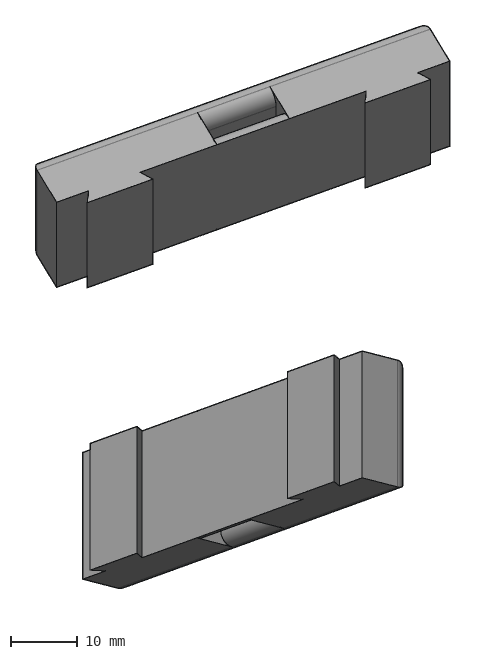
import cadquery as cq
import math

length = 65.2
height = 20.0
total_depth = 11.2
dovetail_depth = 2.0
body_depth = total_depth - dovetail_depth
front_round = 2.3

dovetail_spacing = 46.0
dovetail_tip_width = 10.9
dovetail_angle = 30.0

opening_length = 12.0
opening_front = 4.5
opening_back = 6.65
lip_round = opening_front - front_round
bar_round = body_depth - opening_back


def make_body():
    body = cq.Workplane("XY").box(body_depth, length, height, centered=(False, True, True))
    return body.faces("<X").edges().fillet(front_round)


def make_dovetail(center_y):
    tip = dovetail_tip_width / 2
    root = tip - dovetail_depth * math.tan(math.radians(dovetail_angle))
    outline = [
        (body_depth, center_y - root),
        (total_depth, center_y - tip),
        (total_depth, center_y + tip),
        (body_depth, center_y + root),
    ]
    return cq.Workplane("XY").polyline(outline).close().extrude(height / 2, both=True)


def make_opening():
    top = height / 2
    profile = (
        cq.Workplane("XZ")
        .moveTo(front_round, top)
        .radiusArc((opening_front, top - lip_round), lip_round)
        .lineTo(opening_front, lip_round - top)
        .radiusArc((front_round, -top), lip_round)
        .lineTo(body_depth, -top)
        .radiusArc((opening_back, bar_round - top), bar_round)
        .lineTo(opening_back, top - bar_round)
        .radiusArc((body_depth, top), bar_round)
        .close()
    )
    return profile.extrude(opening_length / 2, both=True)


result = make_body()
for side in (-1, 1):
    result = result.union(make_dovetail(side * dovetail_spacing / 2))
result = result.cut(make_opening())